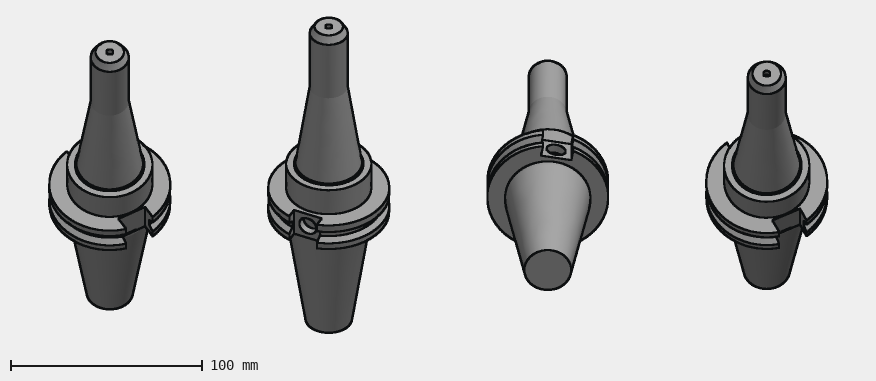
import cadquery as cq
import math

total_length = 195.2
taper_height = 68.5
flange_bottom = 71.7
flange_height = 15.8
flange_top = flange_bottom + flange_height
flange_middle = flange_bottom + flange_height / 2
collar_top = 103.5
cone_top = 155.0

collar_radius = 22.3
taper_ratio = 7 / 24
tip_radius = collar_radius - taper_height * taper_ratio / 2
flange_radius = 31.6
cone_base_radius = 17.4
shank_radius = 10.0

cone_foot_width = 0.8
cone_foot_height = 0.5
shank_bevel_width = 2.5
shank_bevel_height = 4.3

groove_radius = 28.1
groove_floor_width = 3.5
groove_center = 79.3
groove_wall_angle = math.radians(30)
groove_wall_rise = (flange_radius - groove_radius) * math.tan(groove_wall_angle)
groove_floor_half = groove_floor_width / 2
groove_mouth_half = groove_floor_half + groove_wall_rise

slot_width = 16.0
deep_slot_reach = 22.6
shallow_slot_reach = 24.8

side_hole_diameter = 10.0
side_hole_depth = 4.9
tip_hole_diameter = 3.5
tip_hole_depth = 4.0


def make_body():
    """Revolve the half profile of the complete holder about Z."""
    profile = [
        (0, 0),
        (tip_radius, 0),
        (collar_radius, taper_height),
        (collar_radius, flange_bottom),
        (flange_radius, flange_bottom),
        (flange_radius, groove_center - groove_mouth_half),
        (groove_radius, groove_center - groove_floor_half),
        (groove_radius, groove_center + groove_floor_half),
        (flange_radius, groove_center + groove_mouth_half),
        (flange_radius, flange_top),
        (collar_radius, flange_top),
        (collar_radius, collar_top),
        (cone_base_radius + cone_foot_width, collar_top),
        (cone_base_radius, collar_top + cone_foot_height),
        (shank_radius, cone_top),
        (shank_radius, total_length - shank_bevel_height),
        (shank_radius - shank_bevel_width, total_length),
        (0, total_length),
    ]
    return cq.Workplane("XZ").polyline(profile).close().revolve(360, (0, 0), (0, 1))


def make_slot(side, reach):
    """Block that cuts the flange from its rim to the reach; side is +1 or -1 along X."""
    return (
        cq.Workplane("XY")
        .box(flange_radius, slot_width, flange_height)
        .translate((side * (reach + flange_radius / 2), 0, flange_middle))
    )


def make_side_hole():
    """Radial blind hole in the floor of the shallow slot on the -X side."""
    return (
        cq.Workplane("YZ", origin=(-shallow_slot_reach, 0, flange_middle))
        .circle(side_hole_diameter / 2)
        .extrude(side_hole_depth)
    )


def make_tip_hole():
    """Axial blind hole in the end of the shank."""
    return (
        cq.Workplane("XY", origin=(0, 0, total_length))
        .circle(tip_hole_diameter / 2)
        .extrude(-tip_hole_depth)
    )


result = (
    make_body()
    .cut(make_slot(1, deep_slot_reach))
    .cut(make_slot(-1, shallow_slot_reach))
    .cut(make_side_hole())
    .cut(make_tip_hole())
)